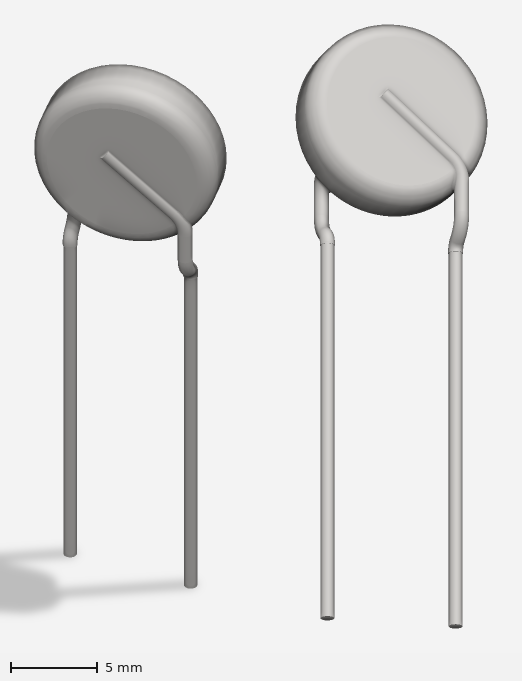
import cadquery as cq
import math

disc_diameter = 11.0
disc_thickness = 3.6
disc_edge_radius = 1.0

overall_height = 36.0
overall_depth = 4.0
coated_diameter = 0.85
bare_diameter = 0.8
lead_pitch = 7.5

tip_x = -1.0
tip_lean = math.radians(50)
tip_bend_radius = 1.8
tip_bend_bottom_z = -3.85
crimp_top_z = -5.75
crimp_angle = math.radians(60)
crimp_upper_radius = 1.5
crimp_lower_radius = 0.75
coating_end_length = 0.1

seam_radius = 0.1
seam_tolerance = 0.0005

bottom_z = disc_diameter / 2 - overall_height
lead_x = lead_pitch / 2
outer_y = -(overall_depth - coated_diameter) / 2


def arc_step(radius, angle):
    """Sideways and lengthwise travel of an arc that turns by angle off a straight line."""
    return radius * (1 - math.cos(angle)), radius * math.sin(angle)


def make_disc():
    back_face = cq.Workplane("XZ", origin=(0, disc_thickness / 2, 0))
    disc = back_face.circle(disc_diameter / 2).extrude(disc_thickness)
    return disc.edges("%CIRCLE").fillet(disc_edge_radius)


def make_lead():
    """Front lead: slanted tip on the disc face, bend, S-bend inward, straight bare wire."""
    bend_mid_side, bend_mid_rise = arc_step(tip_bend_radius, tip_lean / 2)
    bend_side, bend_rise = arc_step(tip_bend_radius, tip_lean)
    bend_bottom = cq.Vector(lead_x, outer_y, tip_bend_bottom_z)
    bend_mid = bend_bottom + cq.Vector(-bend_mid_side, 0, bend_mid_rise)
    bend_top = bend_bottom + cq.Vector(-bend_side, 0, bend_rise)
    tip_rise = (bend_top.x - tip_x) / math.tan(tip_lean)
    tip = cq.Vector(tip_x, outer_y, bend_top.z + tip_rise)

    upper_mid_side, upper_mid_drop = arc_step(crimp_upper_radius, crimp_angle / 2)
    upper_side, upper_drop = arc_step(crimp_upper_radius, crimp_angle)
    lower_mid_side, lower_mid_drop = arc_step(crimp_lower_radius, crimp_angle / 2)
    lower_side, lower_drop = arc_step(crimp_lower_radius, crimp_angle)
    crimp_top = cq.Vector(lead_x, outer_y, crimp_top_z)
    upper_mid = crimp_top + cq.Vector(0, upper_mid_side, -upper_mid_drop)
    crimp_joint = crimp_top + cq.Vector(0, upper_side, -upper_drop)
    crimp_bottom = crimp_joint + cq.Vector(0, lower_side, -lower_drop)
    lower_mid = crimp_bottom + cq.Vector(0, -lower_mid_side, lower_mid_drop)

    coating_end = crimp_bottom - cq.Vector(0, 0, coating_end_length)

    path = cq.Wire.assembleEdges([
        cq.Edge.makeLine(tip, bend_top),
        cq.Edge.makeThreePointArc(bend_top, bend_mid, bend_bottom),
        cq.Edge.makeLine(bend_bottom, crimp_top),
        cq.Edge.makeThreePointArc(crimp_top, upper_mid, crimp_joint),
        cq.Edge.makeThreePointArc(crimp_joint, lower_mid, crimp_bottom),
        cq.Edge.makeLine(crimp_bottom, coating_end),
    ])
    tip_plane = cq.Plane(origin=tip, xDir=(0, 1, 0), normal=bend_top - tip)
    coated = cq.Workplane(tip_plane).circle(coated_diameter / 2).sweep(path)

    bare = (
        cq.Workplane("XY", origin=(coating_end.x, coating_end.y, bottom_z))
        .circle(bare_diameter / 2)
        .extrude(coating_end.z - bottom_z)
    )
    return coated.union(bare)


def is_seam(edge):
    """True where a lead meets the disc: a free curve, or a straight line in a flat disc face."""
    if edge.geomType() == "LINE":
        return all(
            math.isclose(abs(vertex.Y), disc_thickness / 2, abs_tol=seam_tolerance)
            for vertex in edge.Vertices()
        )
    return edge.geomType() != "CIRCLE"


front_lead = make_lead()
back_lead = front_lead.rotate((0, 0, 0), (0, 0, 1), 180)

joined = make_disc().union(front_lead).union(back_lead)
result = joined.edges().filter(is_seam).fillet(seam_radius)